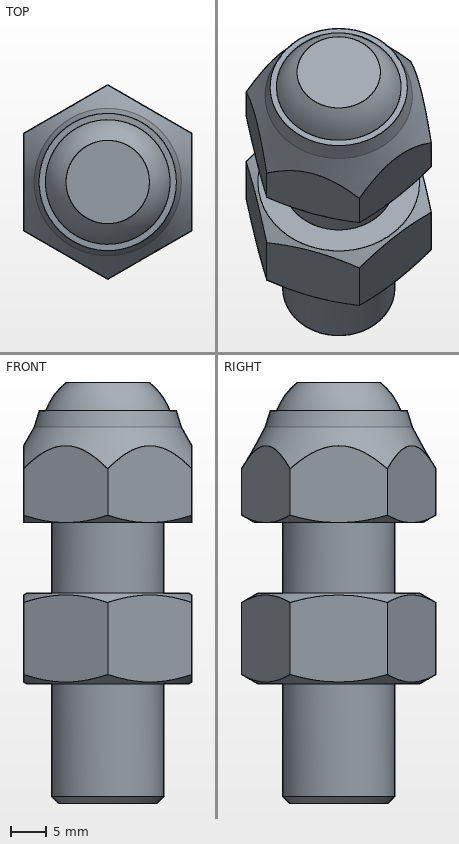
import cadquery as cq
import math

total_height = 60
across_flats = 24
corner_radius = across_flats / 2 / math.cos(math.radians(30))

rod_diameter = 16.0
rod_chamfer = 1.0

nut_base = 17.05
nut_top = 30
nut_face_radius = 11.5
nut_chamfer_angle = 30

lock_base = 40.0
lock_face_radius = across_flats / 2
shoulder_corner = 47.7
collar_base = 53.65
collar_top = 56.0
collar_base_radius = 10.5
collar_top_radius = 9.8

dome_base_radius = 8.9
dome_top_radius = 5.95


def chamfer_rise(face_radius):
    """Height a corner chamfer gains from the face circle to the hexagon corners."""
    return (corner_radius - face_radius) * math.tan(math.radians(nut_chamfer_angle))


def hexagon(base, top):
    """Hexagonal prism with flats facing +X and -X."""
    prism = cq.Workplane("XY").polygon(6, 2 * corner_radius).extrude(top - base)
    return prism.rotate((0, 0, 0), (0, 0, 1), 30).translate((0, 0, base))


def turned(profile):
    """Solid of revolution about Z from (radius, height) points."""
    return cq.Workplane("XZ").polyline(profile).close().revolve(360, (0, 0), (0, 1))


def make_rod():
    rod = cq.Workplane("XY").circle(rod_diameter / 2).extrude(collar_top)
    return rod.faces("<Z").chamfer(rod_chamfer)


def make_nut():
    rise = chamfer_rise(nut_face_radius)
    envelope = turned([
        (0, nut_base),
        (nut_face_radius, nut_base),
        (corner_radius, nut_base + rise),
        (corner_radius, nut_top - rise),
        (nut_face_radius, nut_top),
        (0, nut_top),
    ])
    return hexagon(nut_base, nut_top).intersect(envelope)


def make_lock_nut():
    envelope = turned([
        (0, lock_base),
        (lock_face_radius, lock_base),
        (corner_radius, lock_base + chamfer_rise(lock_face_radius)),
        (corner_radius, shoulder_corner),
        (collar_base_radius, collar_base),
        (collar_top_radius, collar_top),
        (0, collar_top),
    ])
    return hexagon(lock_base, collar_top).intersect(envelope)


def make_dome():
    height = total_height - collar_top
    base_offset = (dome_base_radius**2 - dome_top_radius**2 - height**2) / (2 * height)
    sphere_radius = math.hypot(dome_base_radius, base_offset)
    middle_height = height / 2
    middle_radius = math.sqrt(sphere_radius**2 - (base_offset + middle_height)**2)
    return (
        cq.Workplane("XZ")
        .moveTo(0, collar_top)
        .lineTo(dome_base_radius, collar_top)
        .threePointArc((middle_radius, collar_top + middle_height), (dome_top_radius, total_height))
        .lineTo(0, total_height)
        .close()
        .revolve(360, (0, 0), (0, 1))
    )


result = make_rod().union(make_nut()).union(make_lock_nut()).union(make_dome())